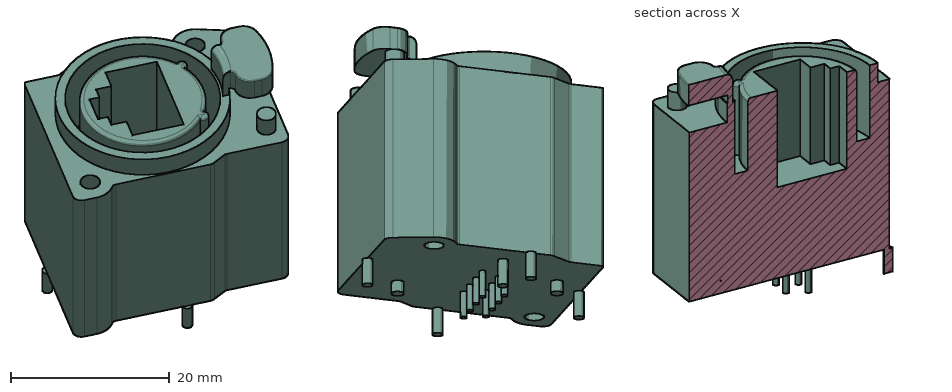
import cadquery as cq
import math


total_height = 34.3
body_bottom = 3.43
body_top = 27.5
collar_top = 30.22
insert_top = 30.1
groove_floor = 19.9
post_top = 30.05
pad_bottom = 31.28
short_peg_bottom = 1.92

back_y = 16.45
front_y = -12.73
side_x = 11.2
rear_right_x = 9.98
front_left_x = -9.7
rear_shoulder_y = (5.8, 7.9)
front_shoulder_y = (-5.4, -8.13)
shoulder_radius = 1.15
shoulder_inner_radius = 0.7
rear_corner_radius = 1.15
front_left_radius = 0.4
front_right_radius = 1.15

screw_offset = 9.88
screw_hole_radius = 1.25
lobe_radius = 2.9
lobe_throat_angle = 230
lobe_rear_angle = 160
lobe_throat_radius = 0.5

collar_outer_radius = 11.0
collar_inner_radius = 9.78
insert_radius = 7.95
insert_edge_radius = 0.5
key_radius = 0.7
key_axis = (4.75, 6.55)
cavity_steps = ((5.9, -3.12), (3.33, -5.15), (1.85, -6.45))
cavity_top_y = 3.65
cavity_depth = 13.72

tab_half_width = 2.55
tab_inner_radius = 10.12
tab_outer_radius = 10.9
tab_bend_radius = 1.0
pad_half_width = 4.97
pad_front_y = 11.25
pad_back_y = 16.6
pad_back_radius = 11.32
pad_corner_radius = 1.92
pad_neck_radius = 0.48
pad_edge_radius = 0.15

post_radius = 1.2
post_x = 7.0
post_y = 14.15

contact_pitch = 1.27
contact_count = 8
contact_row_y = 1.27
contact_radius = 0.4
support_pin_radius = 0.65
support_pins = ((-11.15, -2.55), (11.08, 2.55), (0, -12.55), (-2.55, 16.3), (-7.65, 0))
peg_radius = 0.8
pegs = ((-2.55, -8.8), (3.8, 10.22))


def cylinder(x, y, radius, bottom, top):
    return cq.Workplane("XY", origin=(x, y, bottom)).circle(radius).extrude(top - bottom)


def block(x_min, x_max, y_min, y_max, bottom, top):
    size = (x_max - x_min, y_max - y_min, top - bottom)
    return cq.Workplane("XY").box(*size, centered=False).translate((x_min, y_min, bottom))


def rounded_outline(corners):
    """Closed outline through (x, y, radius) corners, each rounded by a tangent arc."""
    outline = None
    for i, (x, y, radius) in enumerate(corners):
        corner = cq.Vector(x, y)
        before = (cq.Vector(*corners[i - 1][:2]) - corner).normalized()
        after = (cq.Vector(*corners[(i + 1) % len(corners)][:2]) - corner).normalized()
        half_angle = before.getAngle(after) / 2
        tangent_length = radius / math.tan(half_angle)
        bisector = (before + after).normalized()
        start = corner + before * tangent_length
        middle = corner + bisector * (radius / math.sin(half_angle) - radius)
        end = corner + after * tangent_length
        if outline is None:
            outline = cq.Workplane("XY").moveTo(start.x, start.y)
        else:
            outline = outline.lineTo(start.x, start.y)
        outline = outline.threePointArc((middle.x, middle.y), (end.x, end.y))
    return outline.close()


def lobe_tangent_crossing(angle, x=None, y=None):
    """Point at the given x or y on the left lobe's tangent line with its normal at angle."""
    nx = math.cos(math.radians(angle))
    ny = math.sin(math.radians(angle))
    if x is None:
        return (-screw_offset + (lobe_radius - ny * (y - screw_offset)) / nx, y)
    return (x, screw_offset + (lobe_radius - nx * (x + screw_offset)) / ny)


def lobe_corner(angle_a, angle_b):
    """Point where two tangent lines of the left lobe cross."""
    middle = math.radians((angle_a + angle_b) / 2)
    distance = lobe_radius / math.cos(math.radians((angle_a - angle_b) / 2))
    return (-screw_offset + distance * math.cos(middle), screw_offset + distance * math.sin(middle))


def make_housing():
    throat = lobe_tangent_crossing(lobe_throat_angle, x=-side_x)
    left_tip = lobe_corner(lobe_rear_angle, lobe_throat_angle)
    right_tip = lobe_corner(180, lobe_throat_angle)
    rear_left = lobe_tangent_crossing(lobe_rear_angle, y=back_y)
    corners = [
        (front_left_x, front_y, front_left_radius),
        (screw_offset + lobe_radius, front_y, front_right_radius),
        (-right_tip[0], -right_tip[1], lobe_radius),
        (-throat[0], -throat[1], lobe_throat_radius),
        (side_x, rear_shoulder_y[0], shoulder_radius),
        (rear_right_x, rear_shoulder_y[1], shoulder_inner_radius),
        (rear_right_x, back_y, rear_corner_radius),
        (*rear_left, rear_corner_radius),
        (*left_tip, lobe_radius),
        (*throat, lobe_throat_radius),
        (-side_x, front_shoulder_y[0], shoulder_radius),
        (front_left_x, front_shoulder_y[1], shoulder_inner_radius),
    ]
    housing = rounded_outline(corners).extrude(body_top - body_bottom).translate((0, 0, body_bottom))
    for side in (-1, 1):
        housing = housing.cut(
            cylinder(side * screw_offset, -side * screw_offset, screw_hole_radius, body_bottom, body_top)
        )
    return housing


def make_collar():
    return cylinder(0, 0, collar_outer_radius, body_top, collar_top)


def make_bore():
    """Bore through the collar into the housing; the insert stands on its floor."""
    return cylinder(0, 0, collar_inner_radius, groove_floor, collar_top)


def make_insert():
    insert = cylinder(0, 0, insert_radius, groove_floor, insert_top)
    for side in (-1, 1):
        insert = insert.union(
            cylinder(side * key_axis[0], key_axis[1], key_radius, groove_floor, insert_top)
        )
    return insert.faces(">Z").edges().fillet(insert_edge_radius)


def make_cavity():
    cavity = cq.Workplane("XY")
    for half_width, bottom_y in cavity_steps:
        cavity = cavity.union(
            block(-half_width, half_width, bottom_y, cavity_top_y, insert_top - cavity_depth, insert_top)
        )
    return cavity


def make_tab():
    tab = cylinder(0, 0, tab_outer_radius, collar_top, total_height)
    tab = tab.cut(cylinder(0, 0, tab_inner_radius, collar_top, total_height))
    return tab.intersect(
        block(-tab_half_width, tab_half_width, 0, tab_outer_radius, collar_top, total_height)
    )


def make_bend_trim():
    """Sliver removed to round the tab's top inner edge."""
    bend_radius = tab_inner_radius + tab_bend_radius
    return (
        cq.Workplane("XZ")
        .moveTo(tab_inner_radius, total_height - tab_bend_radius)
        .radiusArc((bend_radius, total_height), tab_bend_radius)
        .lineTo(tab_inner_radius, total_height)
        .close()
        .revolve(180, (0, 0, 0), (0, 1, 0))
    )


def make_latch():
    pad = block(-pad_half_width, pad_half_width, pad_front_y, pad_back_y, pad_bottom, total_height)
    pad = pad.intersect(
        cylinder(0, pad_back_y - pad_back_radius, pad_back_radius, pad_bottom, total_height)
    )
    pad = pad.edges("|Z").fillet(pad_corner_radius)

    neck_middle_y = (pad_front_y + pad_back_y) / 2
    neck = block(-tab_half_width, tab_half_width, 0, neck_middle_y, pad_bottom, total_height)
    neck = neck.cut(cylinder(0, 0, tab_inner_radius, pad_bottom, total_height))
    pad = pad.union(neck)
    middle_z = (pad_bottom + total_height) / 2
    for side in (-1, 1):
        neck_edge = cq.selectors.NearestToPointSelector((side * tab_half_width, pad_front_y, middle_z))
        pad = pad.edges("|Z").edges(neck_edge).fillet(pad_neck_radius)
    pad = pad.faces(">Z").edges(">Y").fillet(pad_edge_radius)
    return pad.union(make_tab()).cut(make_bend_trim())


def make_pins():
    pins = cq.Workplane("XY")
    for i in range(contact_count):
        x = (i - (contact_count - 1) / 2) * contact_pitch
        y = contact_row_y if i % 2 else -contact_row_y
        pins = pins.union(cylinder(x, y, contact_radius, 0, body_bottom))
    for x, y in support_pins:
        pins = pins.union(cylinder(x, y, support_pin_radius, 0, body_bottom))
    for x, y in pegs:
        pins = pins.union(cylinder(x, y, peg_radius, short_peg_bottom, body_bottom))
    return pins


result = make_housing().union(make_collar()).cut(make_bore())
result = result.union(make_insert()).cut(make_cavity())
for side in (-1, 1):
    result = result.union(cylinder(side * post_x, post_y, post_radius, body_top, post_top))
result = result.union(make_pins()).union(make_latch())